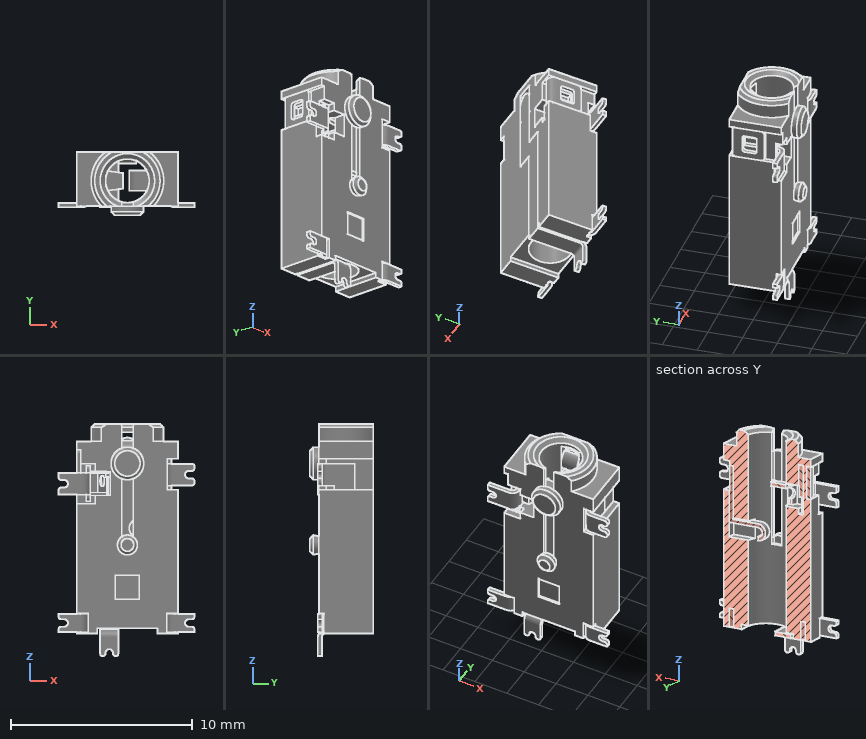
import cadquery as cq
import math

WIDTH = 5.6
DEPTH = 3.0
SHOULDER_Z = 10.58
TOP_Z = 11.55
HALF_WIDTH = WIDTH / 2

AXIS_Y = 1.4
COLLAR_R = 2.0
COLLAR_CHAMFER = 0.2
BORE_R = 1.2
MOUTH_R = 1.5
MOUTH_DEPTH = 0.2
SLOT_WIDTH = 0.62

PEG_HEIGHT = 0.5
PEG_CHAMFER = 0.2
BIG_PEG_R = 0.9
BIG_PEG_Z = 9.37
SMALL_PEG_R = 0.55
SMALL_PEG_ROOT_R = 0.49
SMALL_PEG_Z = 4.88

PANEL_SIZE = 1.32
PANEL_Z = 2.54
PANEL_DEPTH = 0.1

FOOT_NOTCH_WIDTH = 3.3
FOOT_NOTCH_HEIGHT = 0.28

SHEET = 0.24
BEND_R = 0.44
LEAD_FRONT_Y = -0.06
LEAD_BACK_Y = LEAD_FRONT_Y + SHEET
LEFT_TIP_X = -3.8
RIGHT_TIP_X = 3.7
FORK_WIDTH = 0.4
FORK_DEPTH = 0.52
RING_FORK_DEPTH = 0.38
FORK_FLARE_R = 0.16
TIP_R = 0.15

CORNER_FACE_X = 2.17
CORNER_Z = (0.08, 1.08)
CORNER_BLADE_END_Y = 2.0
CORNER_POCKET_TOP = 1.12
CORNER_POCKET_DEPTH = 0.28

SWITCH_FACE_X = -2.04
SWITCH_LEAD_Z = (7.65, 8.85)
SWITCH_BLADE_Z = (7.30, 9.24)
SWITCH_BLADE_FRONT_Y = 0.45
PLATE_Z = (8.27, 10.12)
PLATE_FRONT_Y = 0.97
PLATE_CORNER_R = 0.2
PLATE_WINDOW = (0.83, 1.02)
PLATE_WINDOW_CENTER = (1.83, 9.16)
PLATE_WINDOW_R = 0.16
FOLD_R = (SWITCH_FACE_X + HALF_WIDTH) / 2
FOLD_X = SWITCH_FACE_X - FOLD_R
FOLD_Y = 2.54
CORE_WINDOW = (0.72, 0.54)
CORE_WINDOW_CENTER = (1.86, 9.20)
ARM_Z = (7.75, 8.85)
ARM_FRONT_Y = 0.7
ARM_BEND_X = -1.62
ARM_END_X = -1.15
ARM_END_Y = 1.8
ARM_HOLE_R = 0.3
ARM_HOLE_X = -1.38
ARM_HOLE_Z = 8.4
TONGUE_ROOT_X = -1.2
TONGUE_TIP_X = -0.24
TONGUE_ROOT_WIDTH = 1.1
TONGUE_TIP_WIDTH = 0.87
SWITCH_POCKET_X = -1.77
SWITCH_POCKET_Z = (7.16, 9.35)
SWITCH_POCKET_DEPTH = 0.4
ARM_WINDOW_X = -0.95
REAR_WINDOW_X = -1.14
ARM_WINDOW_DEPTH = AXIS_Y + TONGUE_ROOT_WIDTH / 2
ARM_WINDOW_Z = (7.62, 8.92)

TIP_FACE_X = 2.19
TIP_LEAD_Z = (8.15, 9.35)
TIP_NOTCH_Z = (7.93, 9.62)
TIP_NOTCH_DEPTH = 0.4
SPRING_Y = (0.84, 1.97)
NOSE_X = 0.6
NOSE_Z = 5.8
NOSE_R = 0.5
SPRING_CLEARANCE = 0.05

FOOT_X = (-1.51, -0.49)
FOOT_TOP = 0.24
RING_TIP_Z = -1.25
RISER_TOP = 7.0
RING_TONGUE_HALF = 0.5
RING_TOP_Z = 10.8
RING_BULGE_Y = 2.34
RING_BULGE_Z = (9.3, 10.62)
RING_WINDOW_HALF = 0.55
RING_WINDOW_Z = (9.2, 11.08)


def block(x, y, z):
    """Box given as (low, high) spans along X, Y and Z."""
    return (
        cq.Workplane("XY")
        .box(x[1] - x[0], y[1] - y[0], z[1] - z[0], centered=False)
        .translate((x[0], y[0], z[0]))
    )


def side_window(size, center, radius, x):
    """Block through the X span whose YZ outline is a rectangle with rounded corners."""
    half_y = size[0] / 2
    half_z = size[1] / 2
    body = block(
        x,
        (center[0] - half_y, center[0] + half_y),
        (center[1] - half_z, center[1] + half_z),
    )
    return body.edges("|X").fillet(radius) if radius else body


def front_peg(radius, root_r, z):
    """Round locating peg on the front face, chamfered at its end and root_r wide at the face."""
    peg = (
        cq.Workplane("XY")
        .polyline([
            (0, 0),
            (root_r, 0),
            (radius, PEG_CHAMFER - PEG_HEIGHT),
            (radius - PEG_CHAMFER, -PEG_HEIGHT),
            (0, -PEG_HEIGHT),
        ])
        .close()
        .revolve(360, (0, 0), (0, 1))
    )
    return peg.translate((0, 0, z))


def fork_notch(depth):
    """Flared, round-ended notch for a lead whose tip is at the origin and points to -X."""
    half = FORK_WIDTH / 2
    bevel = FORK_FLARE_R * (1 - math.sqrt(0.5))
    straight_end = depth - half
    return (
        cq.Workplane("XZ")
        .moveTo(0, half + FORK_FLARE_R)
        .threePointArc((bevel, half + bevel), (FORK_FLARE_R, half))
        .lineTo(straight_end, half)
        .threePointArc((depth, 0), (straight_end, -half))
        .lineTo(FORK_FLARE_R, -half)
        .threePointArc((bevel, -half - bevel), (0, -half - FORK_FLARE_R))
        .close()
        .extrude(1.0, both=True)
    )


def bent_lead(length, blade_end_y, width, round_tip, fork_depth=FORK_DEPTH):
    """Forked lead pointing to -X from a right-angle bend whose outer face is on x = 0."""
    mid = BEND_R * math.sqrt(0.5)
    inner_r = BEND_R - SHEET
    inner_mid = inner_r * math.sqrt(0.5)
    bend_y = LEAD_FRONT_Y + BEND_R
    lead = (
        cq.Workplane("XY")
        .moveTo(-length, LEAD_FRONT_Y)
        .lineTo(-BEND_R, LEAD_FRONT_Y)
        .threePointArc((-BEND_R + mid, bend_y - mid), (0, bend_y))
        .lineTo(0, blade_end_y)
        .lineTo(-SHEET, blade_end_y)
        .lineTo(-SHEET, bend_y)
        .threePointArc((-BEND_R + inner_mid, bend_y - inner_mid), (-BEND_R, LEAD_BACK_Y))
        .lineTo(-length, LEAD_BACK_Y)
        .close()
        .extrude(width / 2, both=True)
    )
    if round_tip:
        lead = lead.edges("|Y and <X").fillet(TIP_R)
    return lead.cut(fork_notch(fork_depth).translate((-length, 0, 0)))


def left_lead(face_x, z, blade_end_y):
    lead = bent_lead(face_x - LEFT_TIP_X, blade_end_y, z[1] - z[0], False)
    return lead.translate((face_x, 0, (z[0] + z[1]) / 2))


def right_lead(face_x, z, blade_end_y, round_tip):
    lead = bent_lead(RIGHT_TIP_X - face_x, blade_end_y, z[1] - z[0], round_tip)
    return lead.mirror("YZ").translate((face_x, 0, (z[0] + z[1]) / 2))


def make_corner_terminals():
    left = left_lead(-CORNER_FACE_X, CORNER_Z, CORNER_BLADE_END_Y)
    right = right_lead(CORNER_FACE_X, CORNER_Z, CORNER_BLADE_END_Y, False)
    return [left, right]


def switch_fold():
    """Outer plate, U-bend at the rear and the inner blade it folds into."""
    outer = (-HALF_WIDTH, -HALF_WIDTH + SHEET)
    plate = block(outer, (PLATE_FRONT_Y, FOLD_Y), PLATE_Z)
    plate = plate.edges("|X and <Y").fillet(PLATE_CORNER_R)
    plate = plate.cut(side_window(PLATE_WINDOW, PLATE_WINDOW_CENTER, PLATE_WINDOW_R, outer))

    bend = (
        cq.Workplane("XY", origin=(FOLD_X, FOLD_Y, PLATE_Z[0]))
        .circle(FOLD_R)
        .circle(FOLD_R - SHEET)
        .extrude(PLATE_Z[1] - PLATE_Z[0])
    )
    bend = bend.intersect(block((-HALF_WIDTH, SWITCH_FACE_X), (FOLD_Y, DEPTH), PLATE_Z))

    inner = (SWITCH_FACE_X - SHEET, SWITCH_FACE_X)
    blade = block(inner, (SWITCH_BLADE_FRONT_Y, PLATE_FRONT_Y), SWITCH_BLADE_Z)
    blade = blade.edges("|X and <Y").fillet(PLATE_CORNER_R)
    blade = blade.union(block(inner, (PLATE_FRONT_Y, FOLD_Y), PLATE_Z))
    return plate.union(bend).union(blade)


def switch_arm():
    """Arm bent off the blade, pierced by a round hole, with a tapering tongue at its end."""
    arm = (
        cq.Workplane("XY", origin=(0, 0, ARM_Z[0]))
        .moveTo(SWITCH_FACE_X, ARM_FRONT_Y)
        .lineTo(ARM_BEND_X, ARM_FRONT_Y)
        .lineTo(ARM_END_X, ARM_END_Y)
        .lineTo(ARM_END_X, ARM_END_Y + 2 * SHEET)
        .lineTo(ARM_BEND_X - SHEET / 2, ARM_FRONT_Y + SHEET)
        .lineTo(SWITCH_FACE_X, ARM_FRONT_Y + SHEET)
        .close()
        .extrude(ARM_Z[1] - ARM_Z[0])
    )
    slope = math.degrees(math.atan2(ARM_END_Y - ARM_FRONT_Y, ARM_END_X - ARM_BEND_X))
    hole_y = ARM_FRONT_Y + (ARM_HOLE_X - ARM_BEND_X) * math.tan(math.radians(slope))
    hole = (
        cq.Workplane("XZ")
        .circle(ARM_HOLE_R)
        .extrude(2 * SHEET, both=True)
        .rotate((0, 0, 0), (0, 0, 1), slope)
        .translate((ARM_HOLE_X, hole_y, ARM_HOLE_Z))
    )
    tongue = (
        cq.Workplane("XY", origin=(0, 0, ARM_Z[1] - SHEET))
        .polyline([
            (TONGUE_ROOT_X, AXIS_Y - TONGUE_ROOT_WIDTH / 2),
            (TONGUE_TIP_X, AXIS_Y - TONGUE_TIP_WIDTH / 2),
            (TONGUE_TIP_X, AXIS_Y + TONGUE_TIP_WIDTH / 2),
            (TONGUE_ROOT_X, AXIS_Y + TONGUE_ROOT_WIDTH / 2),
        ])
        .close()
        .extrude(SHEET)
    )
    return arm.cut(hole).union(tongue)


def make_switch_terminal():
    lead = left_lead(SWITCH_FACE_X, SWITCH_LEAD_Z, PLATE_FRONT_Y)
    return lead.union(switch_fold()).union(switch_arm())


def make_tip_terminal():
    blade_x = (TIP_FACE_X, TIP_FACE_X + SHEET)
    arm_z = (NOSE_Z + NOSE_R - SHEET, NOSE_Z + NOSE_R)
    lead = right_lead(TIP_FACE_X, TIP_LEAD_Z, SPRING_Y[1], True)
    drop = block(blade_x, SPRING_Y, (arm_z[0], TIP_LEAD_Z[1]))
    arm = block((NOSE_X, TIP_FACE_X), SPRING_Y, arm_z)
    nose = (
        cq.Workplane("XZ", origin=(NOSE_X, SPRING_Y[1], NOSE_Z))
        .circle(NOSE_R)
        .circle(NOSE_R - SHEET)
        .extrude(SPRING_Y[1] - SPRING_Y[0])
    )
    nose = nose.intersect(
        block((NOSE_X - NOSE_R, NOSE_X), SPRING_Y, (NOSE_Z - NOSE_R, NOSE_Z + NOSE_R))
    )
    return lead.union(drop).union(arm).union(nose)


def ring_back():
    """Flat stepped strip against the back, ending in a round-topped tongue."""
    back_y = (DEPTH - SHEET, DEPTH)
    tongue_x = (-RING_TONGUE_HALF, RING_TONGUE_HALF)
    crossbar_z = (RISER_TOP - (FOOT_X[1] - FOOT_X[0]), RISER_TOP)
    round_z = RING_TOP_Z - RING_TONGUE_HALF
    riser = block(FOOT_X, back_y, (FOOT_TOP - SHEET, RISER_TOP))
    crossbar = block((FOOT_X[0], RING_TONGUE_HALF), back_y, crossbar_z)
    tongue = block(tongue_x, back_y, (crossbar_z[0], round_z))
    top = (
        cq.Workplane("XZ", origin=(0, DEPTH, round_z))
        .circle(RING_TONGUE_HALF)
        .extrude(SHEET)
    )
    return riser.union(crossbar).union(tongue).union(top)


def make_ring_terminal():
    width = FOOT_X[1] - FOOT_X[0]
    mid_x = (FOOT_X[0] + FOOT_X[1]) / 2
    lead = (
        bent_lead(FOOT_TOP - RING_TIP_Z, DEPTH, width, True, RING_FORK_DEPTH)
        .rotate((0, 0, 0), (0, 1, 0), -90)
        .translate((mid_x, 0, FOOT_TOP))
    )
    bulge_mid = (RING_BULGE_Z[0] + RING_BULGE_Z[1]) / 2
    bulge = (
        cq.Workplane("YZ")
        .moveTo(DEPTH - SHEET, RING_BULGE_Z[0])
        .threePointArc((RING_BULGE_Y, bulge_mid), (DEPTH - SHEET, RING_BULGE_Z[1]))
        .close()
        .extrude(RING_TONGUE_HALF, both=True)
    )
    return lead.union(ring_back()).union(bulge)


def collar():
    body = (
        cq.Workplane("XY", origin=(0, AXIS_Y, SHOULDER_Z))
        .circle(COLLAR_R)
        .extrude(TOP_Z - SHOULDER_Z)
        .faces(">Z")
        .chamfer(COLLAR_CHAMFER)
    )
    return body.intersect(block((-COLLAR_R, COLLAR_R), (0, DEPTH), (SHOULDER_Z, TOP_Z)))


def bore():
    """Plug bore from end to end with a conical mouth."""
    return (
        cq.Workplane("XZ", origin=(0, AXIS_Y, 0))
        .polyline([
            (0, 0),
            (BORE_R, 0),
            (BORE_R, TOP_Z - MOUTH_DEPTH),
            (MOUTH_R, TOP_Z),
            (0, TOP_Z),
        ])
        .close()
        .revolve(360, (0, 0), (0, 1))
    )


def switch_cavity():
    """Pockets, blade slot, rear opening and arm window for the switch terminal."""
    outside = -HALF_WIDTH
    slot_x = (SWITCH_FACE_X - SHEET, SWITCH_FACE_X)
    pocket = block((outside, SWITCH_POCKET_X), (0, SWITCH_POCKET_DEPTH), SWITCH_POCKET_Z)
    slot = block(slot_x, (0, DEPTH), SWITCH_BLADE_Z)
    rear_slot = block(slot_x, (PLATE_FRONT_Y, DEPTH), PLATE_Z)
    recess = block((outside, outside + SHEET), (0, DEPTH), PLATE_Z)
    rear = block((outside, SWITCH_FACE_X), (FOLD_Y, DEPTH), PLATE_Z)
    window = block((SWITCH_FACE_X, ARM_WINDOW_X), (0, ARM_WINDOW_DEPTH), ARM_WINDOW_Z)
    rear_window = block((SWITCH_FACE_X, REAR_WINDOW_X), (ARM_WINDOW_DEPTH, DEPTH), ARM_WINDOW_Z)
    core_x = (outside + SHEET, SWITCH_FACE_X - SHEET)
    core = side_window(CORE_WINDOW, CORE_WINDOW_CENTER, 0, core_x)
    return [pocket, slot, rear_slot, recess, rear, window, rear_window, core]


def tip_cavity():
    """Side notch and spring chamber for the tip terminal."""
    outer_x = TIP_FACE_X + SHEET
    pocket = block((TIP_FACE_X, HALF_WIDTH), (0, TIP_NOTCH_DEPTH), TIP_NOTCH_Z)
    notch = block((outer_x, HALF_WIDTH), (0, DEPTH), TIP_NOTCH_Z)
    blade_slot = block((TIP_FACE_X, outer_x), (0, SPRING_Y[1]), TIP_LEAD_Z)
    drop_slot = block((TIP_FACE_X, outer_x), SPRING_Y, (NOSE_Z, TIP_LEAD_Z[0]))
    chamber = block(
        (NOSE_X - NOSE_R, outer_x),
        (SPRING_Y[0] - SPRING_CLEARANCE, SPRING_Y[1] + SPRING_CLEARANCE),
        (NOSE_Z - NOSE_R - SPRING_CLEARANCE, NOSE_Z + NOSE_R + SPRING_CLEARANCE),
    )
    return [pocket, notch, blade_slot, drop_slot, chamber]


def corner_cavity(side):
    """Open corner pocket, bend relief and blade slot at one lower corner (side is -1 or 1)."""
    span = sorted((side * CORNER_FACE_X, side * HALF_WIDTH))
    slot = sorted((side * CORNER_FACE_X, side * (CORNER_FACE_X + SHEET)))
    pocket = block(span, (0, CORNER_POCKET_DEPTH), (0, CORNER_POCKET_TOP))
    bend = sorted((side * CORNER_FACE_X, side * (CORNER_FACE_X + BEND_R)))
    relief = block(bend, (0, LEAD_FRONT_Y + BEND_R), CORNER_Z)
    return [pocket, relief, block(slot, (0, CORNER_BLADE_END_Y), CORNER_Z)]


def make_housing():
    body = block((-HALF_WIDTH, HALF_WIDTH), (0, DEPTH), (0, SHOULDER_Z)).union(collar())
    half_slot = SLOT_WIDTH / 2
    half_panel = PANEL_SIZE / 2
    half_notch = FOOT_NOTCH_WIDTH / 2
    ring_window = (-RING_WINDOW_HALF, RING_WINDOW_HALF)
    cavities = [
        bore(),
        block((-half_slot, half_slot), (0, AXIS_Y), (SMALL_PEG_Z, TOP_Z)),
        block(
            (-half_panel, half_panel),
            (0, PANEL_DEPTH),
            (PANEL_Z - half_panel, PANEL_Z + half_panel),
        ),
        block((-half_notch, half_notch), (0, DEPTH), (0, FOOT_NOTCH_HEIGHT)),
        block(ring_window, (AXIS_Y, DEPTH), RING_WINDOW_Z),
        ring_back(),
        *switch_cavity(),
        *tip_cavity(),
        *corner_cavity(-1),
        *corner_cavity(1),
    ]
    for cavity in cavities:
        body = body.cut(cavity)
    body = body.union(front_peg(BIG_PEG_R, BIG_PEG_R, BIG_PEG_Z))
    return body.union(front_peg(SMALL_PEG_R, SMALL_PEG_ROOT_R, SMALL_PEG_Z))


corner_terminals = make_corner_terminals()
switch_terminal = make_switch_terminal()
tip_terminal = make_tip_terminal()
ring_terminal = make_ring_terminal()
housing = make_housing()

result = cq.Compound.makeCompound([
    housing.val(),
    switch_terminal.val(),
    tip_terminal.val(),
    ring_terminal.val(),
    *[terminal.val() for terminal in corner_terminals],
])